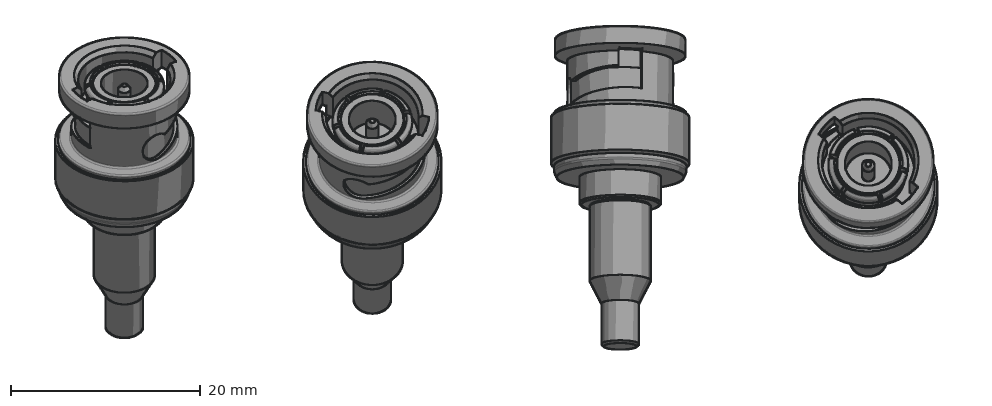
import cadquery as cq
import math

TOP = 33.15

cable_radius = 2.0
cable_end_chamfer = 0.25
cone_bottom = 4.6
cone_top = 7.05
ferrule_radius = 3.24
ferrule_chamfer = 0.18

body_radius = 4.32
body_bottom = 15.25
body_chamfer = 0.2

sleeve_radius = 7.3
sleeve_end_radius = 7.0
sleeve_bottom = 18.2
sleeve_bottom_chamfer_radial = 0.3
sleeve_bottom_chamfer_height = 0.65
sleeve_bottom_fillet = 0.5
sleeve_band_bottom = 19.4
sleeve_band_chamfer = sleeve_radius - sleeve_end_radius
sleeve_band_top = TOP - 8.5
sleeve_top = TOP - 8.0
sleeve_edge_fillet = 0.2

neck_radius = 5.6
neck_foot_fillet = 0.2
collar_radius = 6.9
collar_bottom = TOP - 2.42
collar_rim_bottom = TOP - 1.87
collar_edge_fillet = 0.2

bore_radius = 4.87
bore_mouth_radius = 5.3
bore_mouth_depth = 0.55
bore_floor = TOP - 4.13

notch_width = 2.5
notch_outer_radius = 6.0
ramp_floor_radius = 5.2
ramp_angle = math.radians(14)
ramp_upper_offset = 0.75
lock_radius = 1.6
lock_height = TOP - 6.1

contact_tip = TOP - 0.9
contact_inner_radius = 3.37
contact_tip_inner_radius = 3.6
contact_tip_outer_radius = 3.75
contact_bulge_radius = 4.22
contact_bulge_height = TOP - 1.4
contact_stem_radius = 3.95
contact_stem_top = TOP - 1.95
contact_tip_chamfer = 0.15
slit_width = 0.4
slit_lines = 3

insulator_radius = 3.3
insulator_top = TOP - 1.04
insulator_bore_radius = 2.46
insulator_floor = TOP - 5.0
pin_radius = 0.67
pin_tip_radius = 0.28
pin_top = TOP - 1.28
pin_shoulder = TOP - 1.8


def ring(inner_radius, outer_radius, bottom, top):
    """Plain tube between two heights; an inner radius of zero gives a full cylinder."""
    tube = cq.Workplane("XY").workplane(offset=bottom).circle(outer_radius)
    if inner_radius > 0:
        tube = tube.circle(inner_radius)
    return tube.extrude(top - bottom)


def revolve_profile(sketch):
    """Close a radius-height profile and turn it about the Z axis."""
    return sketch.close().revolve(360, (0, 0, 0), (0, 1, 0))


def fillet_circle(body, radius, height, fillet_radius):
    """Round the circular edge about the Z axis that has this radius and height."""
    edges = body.edges("%CIRCLE").filter(
        lambda edge: math.isclose(edge.radius(), radius) and math.isclose(edge.Center().z, height)
    )
    return edges.fillet(fillet_radius)


def outer_shell():
    """Solid envelope of the cable end, rear body, sleeve, neck and collar."""
    outline = [
        (0, 0),
        (cable_radius - cable_end_chamfer, 0),
        (cable_radius, cable_end_chamfer),
        (cable_radius, cone_bottom),
        (ferrule_radius, cone_top),
        (ferrule_radius, body_bottom - ferrule_chamfer),
        (ferrule_radius - ferrule_chamfer, body_bottom),
        (body_radius - body_chamfer, body_bottom),
        (body_radius, body_bottom + body_chamfer),
        (body_radius, sleeve_bottom),
        (sleeve_end_radius - sleeve_bottom_chamfer_radial, sleeve_bottom),
        (sleeve_end_radius, sleeve_bottom + sleeve_bottom_chamfer_height),
        (sleeve_end_radius, sleeve_band_bottom),
        (sleeve_radius, sleeve_band_bottom + sleeve_band_chamfer),
        (sleeve_radius, sleeve_band_top),
        (sleeve_end_radius, sleeve_band_top),
        (sleeve_end_radius, sleeve_top),
        (neck_radius, sleeve_top),
        (neck_radius, collar_bottom),
        (collar_radius, collar_rim_bottom),
        (collar_radius, TOP),
        (0, TOP),
    ]
    shell = revolve_profile(cq.Workplane("XZ").polyline(outline))
    shell = fillet_circle(shell, collar_radius, TOP, collar_edge_fillet)
    shell = fillet_circle(shell, sleeve_end_radius, sleeve_top, sleeve_edge_fillet)
    shell = fillet_circle(
        shell, sleeve_end_radius, sleeve_bottom + sleeve_bottom_chamfer_height, sleeve_bottom_fillet
    )
    return fillet_circle(shell, neck_radius, sleeve_top, neck_foot_fillet)


def socket():
    """Bore of the collar with its flared mouth."""
    outline = [
        (0, bore_floor),
        (bore_radius, bore_floor),
        (bore_radius, TOP - bore_mouth_depth),
        (bore_mouth_radius, TOP),
        (0, TOP),
    ]
    return revolve_profile(cq.Workplane("XZ").polyline(outline))


def bayonet_cut():
    """Entry notch on the -Y side, with the ramp that leads from it down to the lock hole on the -X side."""
    half_width = notch_width / 2
    reach = notch_outer_radius
    notch = (
        cq.Workplane("XY")
        .workplane(offset=bore_floor)
        .center(0, -reach / 2)
        .rect(notch_width, reach)
        .extrude(TOP - bore_floor)
        .intersect(ring(0, notch_outer_radius, bore_floor, TOP))
    )

    side_plane = cq.Workplane("YZ", origin=(-reach, 0, lock_height))
    band_length = reach / math.cos(ramp_angle) + lock_radius
    ramp = (
        side_plane.transformed(rotate=(0, 0, -math.degrees(ramp_angle)))
        .center(-band_length / 2, (ramp_upper_offset - lock_radius) / 2)
        .rect(band_length, ramp_upper_offset + lock_radius)
        .extrude(reach + half_width)
    )
    lock_hole = side_plane.circle(lock_radius).extrude(reach)
    core = ring(0, ramp_floor_radius, 0, bore_floor)
    return notch.union(ramp).union(lock_hole).cut(core)


def contact_ring():
    """Slotted spring contact with a rounded bulge near its tip."""
    profile = (
        cq.Workplane("XZ")
        .moveTo(contact_inner_radius, bore_floor)
        .lineTo(contact_stem_radius, bore_floor)
        .lineTo(contact_stem_radius, contact_stem_top)
        .threePointArc((contact_bulge_radius, contact_bulge_height), (contact_tip_outer_radius, contact_tip))
        .lineTo(contact_tip_inner_radius, contact_tip)
        .lineTo(contact_inner_radius, contact_tip - contact_tip_chamfer)
    )
    contact = revolve_profile(profile)
    slit = (
        cq.Workplane("XY")
        .workplane(offset=bore_floor)
        .rect(2 * notch_outer_radius, slit_width)
        .extrude(TOP - bore_floor)
    )
    for index in range(slit_lines):
        contact = contact.cut(slit.rotate((0, 0, 0), (0, 0, 1), index * 180 / slit_lines))
    return contact


def centre_pin():
    """Pin standing on the insulator floor, with a tapered tip."""
    outline = [
        (0, insulator_floor),
        (pin_radius, insulator_floor),
        (pin_radius, pin_shoulder),
        (pin_tip_radius, pin_top),
        (0, pin_top),
    ]
    return revolve_profile(cq.Workplane("XZ").polyline(outline))


shell = outer_shell().cut(socket())
first_cut = bayonet_cut()
for turn in (0, 180):
    shell = shell.cut(first_cut.rotate((0, 0, 0), (0, 0, 1), turn))

insulator = ring(0, insulator_radius, bore_floor, insulator_top)
insulator_bore = ring(0, insulator_bore_radius, insulator_floor, insulator_top)

result = shell.union(contact_ring()).union(insulator).cut(insulator_bore).union(centre_pin())